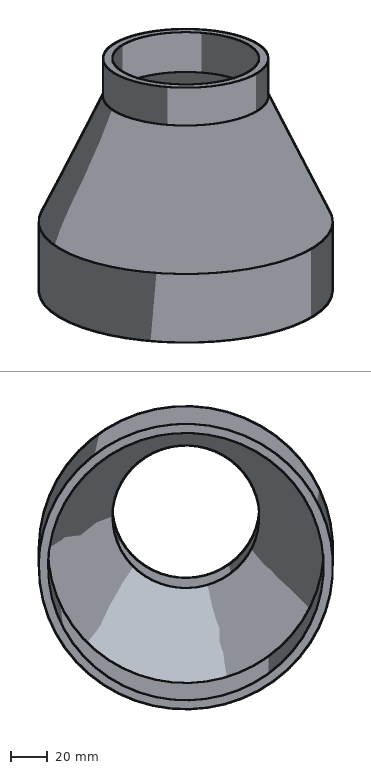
import math

import cadquery as cq

TOTAL_HEIGHT = 135.0
WALL = 5.1

LARGE_DIAMETER = 160.0
LARGE_LENGTH = 40.0

SMALL_DIAMETER = 90.0
SMALL_LENGTH = 22.0

LARGE_RADIUS = LARGE_DIAMETER / 2
SMALL_RADIUS = SMALL_DIAMETER / 2
CONE_TOP = TOTAL_HEIGHT - SMALL_LENGTH

CONE_ANGLE = math.atan2(LARGE_RADIUS - SMALL_RADIUS, CONE_TOP - LARGE_LENGTH)

INNER_CONE_DROP = WALL * math.tan(CONE_ANGLE / 2)


def stepped_cone(large_radius, small_radius, cone_drop):
    """Solid of revolution about Z: large cylinder, cone, small cylinder."""
    profile = (
        cq.Workplane("XZ")
        .lineTo(large_radius, 0)
        .lineTo(large_radius, LARGE_LENGTH - cone_drop)
        .lineTo(small_radius, CONE_TOP - cone_drop)
        .lineTo(small_radius, TOTAL_HEIGHT)
        .lineTo(0, TOTAL_HEIGHT)
        .close()
    )
    return profile.revolve(360, (0, 0, 0), (0, 1, 0))


outer_body = stepped_cone(LARGE_RADIUS, SMALL_RADIUS, 0)
bore = stepped_cone(LARGE_RADIUS - WALL, SMALL_RADIUS - WALL, INNER_CONE_DROP)

result = outer_body.cut(bore)